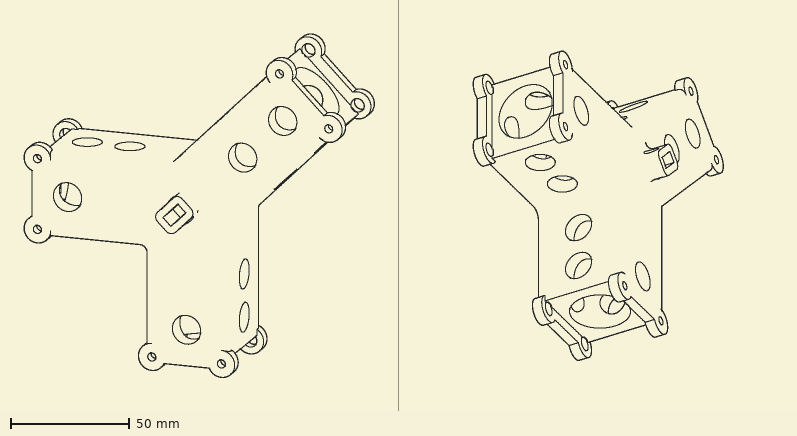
import cadquery as cq
import math

overall_size = 142.5
body_depth = 41.5
arm_width = 37.2
arm_half_width = arm_width / 2
edge_radius = 3.0
plate_thickness = 4.5
plate_overhang = 4.8

ear_diameter = 12.0
ear_spacing = 31.2
ear_setback = 2.4
front_screw_diameter = 3.5
back_screw_diameter = 5.8
back_screw_notch = 0.4
back_screw_depth = plate_thickness + back_screw_notch

side_hole_setback = 12.7
front_hole_setback = 11.1
cross_hole_diameter = 12.7
bore_diameter = 25.8
side_hole_count = 2

short_arm_length = 69.3
short_arm_pitch = 19.1
short_bore_floor = 24.5
long_arm_pitch = 25.4
long_bore_floor = 0
left_angle, lower_angle, upper_angle = 180, 270, 45

short_reach = short_arm_length - ear_setback + ear_diameter / 2
upper_ear_edge = overall_size - short_reach - ear_diameter / 2
long_arm_length = upper_ear_edge / math.cos(math.radians(upper_angle)) - ear_spacing / 2 + ear_setback

arms = [
    (left_angle, short_arm_length, short_arm_pitch, short_bore_floor, 1),
    (lower_angle, short_arm_length, short_arm_pitch, short_bore_floor, 1),
    (upper_angle, long_arm_length, long_arm_pitch, long_bore_floor, 2),
]

lug_height = 12.8
lug_length = 15.7
lug_width = 11.4
lug_flare_radius = 6.3
lug_corner_radius = 3.0
lug_offset = 1.3
lug_shift = -0.1
lug_slot_length = 9.4
lug_slot_width = 5.0
lug_hole_diameter = 6.4
lug_hole_height = 7.0

front_y = -body_depth / 2
back_y = body_depth / 2
gap_depth = body_depth - 2 * plate_thickness


def turned(shape, angle):
    """Turn a shape built along +X so that it points along an arm direction."""
    return shape.rotate((0, 0, 0), (0, -1, 0), angle)


def y_cylinder(diameter, x, z, y_start, y_end):
    """Cylinder parallel to Y."""
    plane = cq.Plane((x, y_start, z), (1, 0, 0), (0, 1, 0))
    return cq.Workplane(plane).circle(diameter / 2).extrude(y_end - y_start)


def box(x_start, x_end, depth, height):
    """Box from x_start to x_end, centred on the X axis."""
    return cq.Workplane().box(x_end - x_start, depth, height).translate(((x_start + x_end) / 2, 0, 0))


def is_arm_end(edge):
    """True for an edge of the body's faces that lies across the end of an arm."""
    middle = edge.Center()
    tolerance = 0.01
    for angle, length, *_ in arms:
        direction = math.radians(angle)
        distance = middle.x * math.cos(direction) + middle.z * math.sin(direction)
        if math.isclose(distance, length, abs_tol=tolerance):
            return True
    return False


def make_body():
    """The three arms as one solid block, with its edges rounded."""
    body = None
    for angle, length, *_ in arms:
        arm = turned(box(0, length, body_depth, arm_width), angle)
        body = arm if body is None else body.union(arm)
    corner_reach = arm_width
    near_origin = cq.selectors.BoxSelector(
        (-corner_reach, front_y, -corner_reach), (corner_reach, back_y, corner_reach)
    )
    body = body.edges("|Y").edges(near_origin).fillet(edge_radius)

    return body.faces("<Y or >Y").edges().filter(lambda edge: not is_arm_end(edge)).fillet(edge_radius)


def ear_positions(length):
    """X and Z of the ear centres on an arm that points along +X."""
    return [(length - ear_setback, side * ear_spacing / 2) for side in (1, -1)]


def make_ears(length):
    """Screw ears at the end of one arm, on both plates."""
    ears = cq.Workplane()
    for x, z in ear_positions(length):
        ears = ears.union(y_cylinder(ear_diameter, x, z, front_y, front_y + plate_thickness))
        ears = ears.union(y_cylinder(ear_diameter, x, z, back_y - plate_thickness, back_y))
    return ears


def make_arm_cuts(length, side_pitch, bore_floor, front_count):
    """Everything cut from one arm: plate gap, bore, cross holes and screw holes."""
    block_end = length - plate_overhang
    reach = arm_width
    cuts = box(block_end, length + ear_diameter, gap_depth, 2 * reach)
    bore = cq.Workplane("YZ", origin=(bore_floor, 0, 0)).circle(bore_diameter / 2)
    cuts = cuts.union(bore.extrude(length - bore_floor))
    for i in range(side_hole_count):
        side_x = block_end - side_hole_setback - i * side_pitch
        side_hole = cq.Workplane("XY", origin=(side_x, 0, -reach)).circle(cross_hole_diameter / 2)
        cuts = cuts.union(side_hole.extrude(2 * reach))
    for i in range(front_count):
        front_x = block_end - front_hole_setback - i * side_pitch
        cuts = cuts.union(y_cylinder(cross_hole_diameter, front_x, 0, -reach, reach))
    for x, z in ear_positions(length):
        cuts = cuts.union(y_cylinder(front_screw_diameter, x, z, front_y, front_y + plate_thickness))
        cuts = cuts.union(y_cylinder(back_screw_diameter, x, z, back_y - back_screw_depth, back_y))
    return cuts


def flared_profile(plane, width):
    """Lug outline across one direction: a flared foot on the face, then a straight stem."""
    half = width / 2
    foot = half + lug_flare_radius
    bend = lug_flare_radius * (1 - math.sqrt(0.5))
    outline = (
        cq.Workplane(plane)
        .moveTo(-foot, 0)
        .threePointArc((-half - bend, bend), (-half, lug_flare_radius))
        .lineTo(-half, lug_height)
        .lineTo(half, lug_height)
        .lineTo(half, lug_flare_radius)
        .threePointArc((half + bend, bend), (foot, 0))
        .close()
    )
    side_reach = lug_length + lug_width
    return outline.extrude(side_reach, both=True)


def place_lug(shape):
    """Move a shape from the lug's own frame to its place on the front face."""
    return turned(shape.translate((lug_shift, front_y, lug_offset)), upper_angle)


def make_lug():
    """Lug in its own frame: X along the arm, height towards -Y."""
    along = cq.Plane((0, 0, 0), (1, 0, 0), (0, 0, -1))
    across = cq.Plane((0, 0, 0), (0, 0, 1), (1, 0, 0))
    lug = flared_profile(along, lug_length).intersect(flared_profile(across, lug_width))
    return lug.edges("|Y").fillet(lug_corner_radius)


def make_lug_cuts():
    """Slot from the lug's tip down to the face, crossed by a hole through the lug's sides."""
    slot = cq.Workplane().box(lug_slot_length, lug_height, lug_slot_width).translate((0, -lug_height / 2, 0))
    hole = cq.Workplane("XY", origin=(0, -lug_hole_height, -lug_width)).circle(lug_hole_diameter / 2)
    return slot.union(hole.extrude(2 * lug_width))


result = make_body()
for angle, length, *_ in arms:
    result = result.union(turned(make_ears(length), angle))
for angle, length, side_pitch, bore_floor, front_count in arms:
    result = result.cut(turned(make_arm_cuts(length, side_pitch, bore_floor, front_count), angle))
result = result.union(place_lug(make_lug()))
result = result.cut(place_lug(make_lug_cuts()))